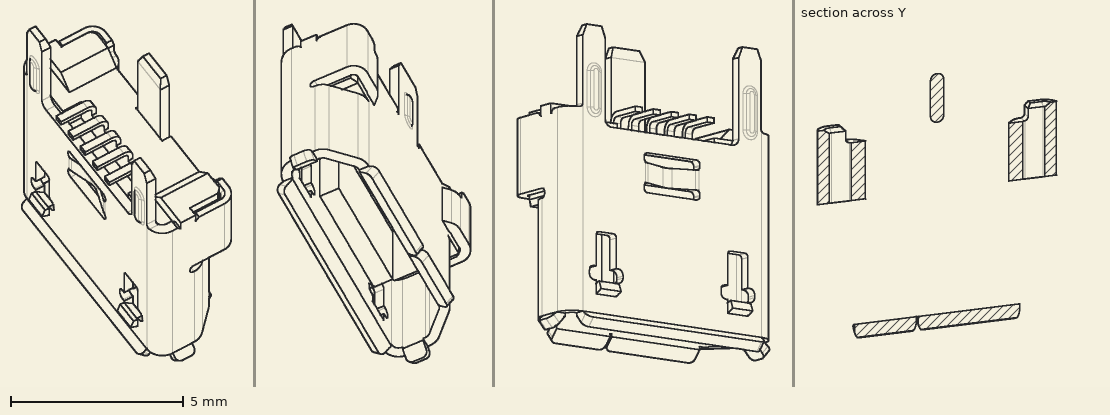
import cadquery as cq
import math


sheet = 0.305
shell_width = 7.49
half_width = shell_width / 2
rear_y = 2.46
wing_rear_y = 2.78
corner_radius = 0.54
wing_corner_radius = 0.45
mouth_chamfer = 0.94
jog_half_width = 2.22
shell_top = 6.055
front_top = 5.57
front_flat = half_width - corner_radius

slit_bottom = 3.49
slit_top = 3.785
slit_end_y = 1.15
slit_end_radius = 0.135

ear_front_y = 0.83
ear_rear_y = 1.345
lead_in = 0.12
lead_in_angle = 45
ear_notch_depth = 0.48
wing_top_end_x = 2.835

leg_top = 8.52
leg_taper_height = 0.33
leg_taper_side = 0.135
leg_taper_back = 0.09
front_leg_width = 0.81
front_leg_x = front_flat - front_leg_width / 2
rear_leg_width = 1.22
rear_leg_gap = 0.09
leg_inner_radius = 0.22
leg_outer_radius = 0.12

bead_foot_radius = 0.26
bead_mid_radius = 0.17
bead_flat_radius = 0.08
bead_height = 0.09
bead_low_z = 6.07
bead_high_z = 7.15

lip_reach = 0.25
lip_depth = 0.45
lip_edge_drop = 0.2
lip_tip_offset = 0.03
lip_inner_drop = 0.09
lip_corner_radius = 0.18
side_lip_width = 0.66
side_lip_y = 0.89
rear_lip_end = 2.57
seam_x = -0.62
seam_gap = 0.05

window_width = 2.01
window_bottom = 3.785
window_top = 4.97
window_slit = 0.3
window_slit_radius = 0.135
dent_half_width = 0.97
dent_bend = 0.12
dent_bend_rise = 0.02
dent_flat_half = 0.16
dent_depth = 0.27
dent_crown = 0.03
catch_x = 2.37
catch_width = 0.72
catch_top = 2.42
tab_foot = 0.565
tab_root_top = 0.63
tab_bend_top = 0.9
tab_tip_upper = (-0.14, 0.92)
tab_tip_lower = (-0.24, 0.68)
catch_corner_radius = 0.11
catch_lobe_span = 1.21
catch_lobe_bottom = 0.98
catch_lobe_height = 0.42
catch_lobe_radius = 0.18

body_top = 5.78
body_front_radius = 0.395
body_rear_chamfer = 0.15
body_bottom_chamfer = 0.16
block_top = 6.23
block_inner_x = 2.22
block_slope = block_top - body_top
recess_half_width = 1.75
recess_rear_y = 0.93
recess_floor = 4.98
tongue_front_y = 0.47
tongue_rear_y = 1.08
tongue_bottom = 0.92
pin_pitch = 0.65
pin_count = 5
pin_width = 0.25
pin_thickness = 0.15
pin_top = 6.26
pin_front_y = -0.135
pin_rear_y = recess_rear_y + pin_thickness


def box(x0, x1, y0, y1, z0, z1):
    """Block between two opposite corners."""
    return cq.Workplane("XY").box(x1 - x0, y1 - y0, z1 - z0, centered=False).translate((x0, y0, z0))


def mirrored(solid):
    """A solid together with its mirror image across X = 0."""
    return solid.union(solid.mirror("YZ"))


def mouth_prism(inset, height):
    """Mouth section with slanted rear corners, set in from the outside by a given amount."""
    w = half_width - inset
    rear = rear_y - inset
    chamfer = mouth_chamfer - inset * (2 - math.sqrt(2))
    outline = [
        (-w, inset),
        (w, inset),
        (w, rear - chamfer),
        (w - chamfer, rear),
        (chamfer - w, rear),
        (-w, rear - chamfer),
    ]
    prism = cq.Workplane("XY").polyline(outline).close().extrude(height)
    return prism.edges("|Z").fillet(corner_radius - inset)


def wing_prism(inset, z0, z1):
    """Wide upper section whose rear wall steps out to a wing on each side."""
    w = half_width - inset
    rear = rear_y - inset
    wing_rear = wing_rear_y - inset
    jog = jog_half_width + inset * (math.sqrt(2) - 1)
    step = wing_rear_y - rear_y
    outline = [
        (-w, inset),
        (w, inset),
        (w, wing_rear),
        (jog + step, wing_rear),
        (jog, rear),
        (-jog, rear),
        (-jog - step, wing_rear),
        (-w, wing_rear),
    ]
    prism = cq.Workplane("XY").workplane(offset=z0).polyline(outline).close().extrude(z1 - z0)
    prism = prism.edges("|Z and <Y").fillet(corner_radius - inset)
    return prism.edges("|Z and >Y").fillet(wing_corner_radius - inset)


def make_shell():
    """Folded sheet shell without its legs, lips and front-wall openings."""
    shell = mouth_prism(0, slit_top).cut(mouth_prism(sheet, slit_top))
    upper = wing_prism(0, slit_top, shell_top).cut(wing_prism(sheet, slit_top, shell_top))
    shell = shell.union(upper).cut(mirrored(side_slit()))

    shell = shell.union(
        box(-jog_half_width, jog_half_width, rear_y - sheet, rear_y, slit_bottom, slit_top)
    )

    front_notch_x = front_leg_x - front_leg_width / 2
    shell = shell.cut(box(-front_notch_x, front_notch_x, 0, sheet, front_top, shell_top))
    return shell.cut(rear_notch()).cut(mirrored(ear_notch()))


def flared_outline(plane, start, end, bottom):
    """Notch outline open at the shell top, with flared top corners."""
    points = [
        (start, bottom),
        (end, bottom),
        (end, shell_top - lead_in),
        (end + lead_in, shell_top),
        (start - lead_in, shell_top),
        (start, shell_top - lead_in),
    ]
    return cq.Workplane(plane).polyline(points).close()


def rear_notch():
    """Lowered rear edge between the wings, with rounded bottom corners."""
    front_y = rear_y - 2 * sheet
    notch = flared_outline("XZ", -wing_top_end_x, wing_top_end_x, front_top).extrude(front_y - wing_rear_y)
    return notch.faces("<Z").edges("|Y").fillet(leg_outer_radius).translate((0, front_y, 0))


def side_slit():
    """Slit with a rounded front end, cut through one side wall to the rear."""
    slit = box(jog_half_width, half_width, slit_end_y, wing_rear_y, slit_bottom, slit_top)
    return slit.edges("|X and <Y").fillet(slit_end_radius)


def ear_notch():
    """Notch with flared top corners in one side wall."""
    notch = flared_outline("YZ", ear_front_y, ear_rear_y, shell_top - ear_notch_depth).extrude(sheet)
    return notch.translate((half_width - sheet, 0, 0))


def wing_lead_in():
    """Flared top rim inside the wings, behind the ear notches."""
    rim = wing_prism(sheet, shell_top - lead_in, shell_top)
    rim = rim.faces("<Z").wires().toPending().workplane().extrude(-lead_in, taper=-lead_in_angle)
    reach = box(-half_width, half_width, ear_rear_y, wing_rear_y, shell_top - lead_in, shell_top)
    return rim.intersect(reach)


def make_leg(width, foot_z):
    """Flat leg centred on X = 0, outer face on Y = 0, tapered at the tip."""
    half = width / 2
    shoulder = leg_top - leg_taper_height
    front = [
        (-half, foot_z),
        (half, foot_z),
        (half, shoulder),
        (half - leg_taper_side, leg_top),
        (leg_taper_side - half, leg_top),
        (-half, shoulder),
    ]
    side = [
        (0, foot_z),
        (sheet, foot_z),
        (sheet, shoulder),
        (sheet - leg_taper_back, leg_top),
        (0, leg_top),
    ]
    leg = cq.Workplane("XZ").polyline(front).close().extrude(-sheet)
    profile = cq.Workplane("YZ").polyline(side).close().extrude(half, both=True)
    return leg.intersect(profile).union(make_bead())


def bead_half_profile():
    """Half of the bead's cross-section: a concave foot blending into a convex crown."""
    rise = bead_height / 2
    run = bead_foot_radius - bead_mid_radius
    radius = (run ** 2 + rise ** 2) / (2 * rise)
    return (
        cq.Workplane("XY")
        .lineTo(bead_foot_radius, 0)
        .radiusArc((bead_mid_radius, -rise), -radius)
        .radiusArc((bead_flat_radius, -bead_height), radius)
        .lineTo(0, -bead_height)
        .close()
    )


def make_bead():
    """Long rounded bead standing out of a leg's outer face."""
    bar = bead_half_profile().extrude(bead_high_z - bead_low_z)
    bead = mirrored(bar.translate((0, 0, bead_low_z)))
    end = bead_half_profile().revolve(360, (0, 0, 0), (0, 1, 0))
    for z in (bead_low_z, bead_high_z):
        bead = bead.union(end.translate((0, 0, z)))
    return bead


def foot_fillet(radius, direction):
    """Concave corner piece at the origin, filling toward +Z and the given X direction."""
    middle = radius * (1 - math.sqrt(0.5))
    return (
        cq.Workplane("XZ")
        .lineTo(direction * radius, 0)
        .threePointArc((direction * middle, middle), (0, radius))
        .close()
        .extrude(-sheet)
    )


def make_front_leg():
    """Right-hand front leg with rounded roots."""
    leg = make_leg(front_leg_width, front_top).translate((front_leg_x, 0, 0))
    inner_x = front_leg_x - front_leg_width / 2
    leg = leg.union(foot_fillet(leg_inner_radius, -1).translate((inner_x, 0, front_top)))
    outer_fillet = foot_fillet(leg_outer_radius, 1).translate((front_flat, 0, shell_top))
    return leg.union(outer_fillet.intersect(wing_prism(0, shell_top, leg_top)))


def make_rear_leg():
    """Wider middle leg rising from the rear wall."""
    leg = make_leg(rear_leg_width, front_top)
    return leg.rotate((0, 0, 0), (0, 0, 1), 180).translate((0, rear_y, 0))


def make_lip(width):
    """Lip flared toward -Y from a wall whose outer face is Y = 0, centred on X = 0."""
    profile = [
        (0, 0),
        (-lip_reach, -lip_edge_drop),
        (-lip_tip_offset, -lip_depth),
        (sheet, -lip_inner_drop),
        (sheet, 0),
    ]
    lip = cq.Workplane("YZ").polyline(profile).close().extrude(width / 2, both=True)
    tip_y = -(lip_reach + lip_tip_offset) / 2
    tip_z = -(lip_edge_drop + lip_depth) / 2
    for x in (-width / 2, width / 2):
        tip_edge = cq.selectors.NearestToPointSelector((x, tip_y, tip_z))
        lip = lip.edges(tip_edge).fillet(lip_corner_radius)
    return lip


def make_lips():
    """Flared lips on all four sides of the mouth."""
    lips = make_lip(2 * front_flat)
    side = make_lip(side_lip_width).rotate((0, 0, 0), (0, 0, 1), 90)
    lips = lips.union(mirrored(side.translate((half_width, side_lip_y, 0))))
    seam_left = seam_x - seam_gap / 2
    seam_right = seam_x + seam_gap / 2
    for x0, x1 in ((-rear_lip_end, seam_left), (seam_right, rear_lip_end)):
        rear = make_lip(x1 - x0).rotate((0, 0, 0), (0, 0, 1), 180)
        lips = lips.union(rear.translate(((x0 + x1) / 2, rear_y, 0)))
    return lips


def window_cut():
    """Two rounded slits with an inward V dent between them."""
    cut = dent_cut()
    for z in (window_bottom, window_top - window_slit):
        slit = box(-window_width / 2, window_width / 2, 0, sheet, z, z + window_slit)
        cut = cut.union(slit.edges("|Y").fillet(window_slit_radius))
    return cut


def dent_cut():
    """Shallow V groove with rounded bends, running along Z between the slits."""
    slope_start = dent_half_width - dent_bend
    slope_end = dent_depth - dent_crown
    bend_middle = (dent_bend / 2 - dent_half_width, dent_bend_rise / 4)
    outline = (
        cq.Workplane("XY")
        .workplane(offset=window_bottom + window_slit)
        .moveTo(-dent_half_width, 0)
        .threePointArc(bend_middle, (-slope_start, dent_bend_rise))
        .lineTo(-dent_flat_half, slope_end)
        .threePointArc((0, dent_depth), (dent_flat_half, slope_end))
        .lineTo(slope_start, dent_bend_rise)
        .threePointArc((-bend_middle[0], bend_middle[1]), (dent_half_width, 0))
        .close()
    )
    return outline.extrude(window_top - window_bottom - 2 * window_slit)


def catch_slot():
    """Right-hand slot with a rounded lobe on each side near its foot."""
    half = catch_width / 2
    slot = box(-half, half, 0, sheet, tab_foot, catch_top)
    slot = slot.edges("|Y and >Z").fillet(catch_corner_radius)
    lobe_half = catch_lobe_span / 2
    lobe_top = catch_lobe_bottom + catch_lobe_height
    lobes = box(-lobe_half, lobe_half, 0, sheet, catch_lobe_bottom, lobe_top)
    return slot.union(lobes.edges("|Y").fillet(catch_lobe_radius)).translate((catch_x, 0, 0))


def catch_tab():
    """Right-hand bent tab standing out below its slot."""
    profile = [
        (sheet, tab_foot),
        (sheet, tab_root_top),
        (0, tab_bend_top),
        tab_tip_upper,
        tab_tip_lower,
        (0, tab_foot),
    ]
    tab = cq.Workplane("YZ").polyline(profile).close().extrude(catch_width / 2, both=True)
    return tab.translate((catch_x, 0, 0))


def make_body():
    """Moulded body with raised corner blocks, contact recess and tongue."""
    w = half_width - sheet
    body = box(-w, w, sheet, rear_y, slit_bottom, body_top)
    body = body.union(mirrored(corner_block(w)))
    body = body.edges("|Z and <Y").fillet(body_front_radius)
    rear_corner = (
        cq.Workplane("XY")
        .polyline([(w, rear_y), (w - body_rear_chamfer, rear_y), (w, rear_y - body_rear_chamfer)])
        .close()
        .extrude(block_top)
    )
    bottom_edge = (
        cq.Workplane("XZ")
        .moveTo(w, slit_bottom)
        .lineTo(w - body_bottom_chamfer, slit_bottom)
        .lineTo(w, slit_bottom + body_bottom_chamfer)
        .close()
        .extrude(-rear_y)
    )
    body = body.cut(mirrored(rear_corner)).cut(mirrored(bottom_edge))

    ear = box(w, half_width, ear_front_y, ear_rear_y, shell_top - ear_notch_depth, block_top)
    body = body.union(mirrored(ear))

    tongue = box(
        -recess_half_width, recess_half_width, tongue_front_y, tongue_rear_y, tongue_bottom, slit_bottom
    )
    body = body.union(tongue)

    gap = rear_leg_width / 2 + rear_leg_gap
    body = body.cut(box(-gap, gap, rear_y - sheet, rear_y, front_top, body_top))
    return body.cut(
        box(-recess_half_width, recess_half_width, sheet, recess_rear_y, recess_floor, body_top)
    )


def corner_block(outer_x):
    """Right-hand raised block, sloping down to the middle of the body."""
    outline = [
        (outer_x, body_top),
        (block_inner_x, body_top),
        (block_inner_x + block_slope, block_top),
        (outer_x, block_top),
    ]
    block = cq.Workplane("XZ").polyline(outline).close().extrude(ear_front_y - rear_y)
    return block.translate((0, ear_front_y, 0))


def make_pins():
    """Contacts lying across the body top and bent down into it."""
    bar = box(-pin_width / 2, pin_width / 2, pin_front_y, pin_rear_y, recess_floor, pin_top)
    bar = bar.edges("|X and >Y and >Z").fillet(2 * pin_thickness)
    under = box(
        -pin_width / 2, pin_width / 2, pin_front_y, recess_rear_y,
        recess_floor, pin_top - pin_thickness
    )
    pin = bar.cut(under.edges("|X and >Y and >Z").fillet(pin_thickness))
    pins = cq.Workplane("XY")
    for i in range(pin_count):
        pins = pins.union(pin.translate(((i - (pin_count - 1) / 2) * pin_pitch, 0, 0)))
    return pins


shell = make_shell().cut(wing_lead_in())
shell = shell.cut(window_cut()).cut(mirrored(catch_slot()))
shell = shell.union(mirrored(catch_tab()))
shell = shell.union(mirrored(make_front_leg())).union(make_lips())

result = shell.union(make_body()).union(make_rear_leg()).union(make_pins())